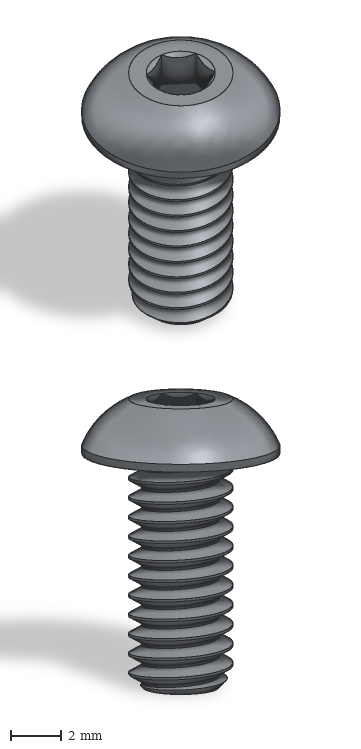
import cadquery as cq
import math

total_height = 11.73
head_diameter = 7.92
head_height = 2.2
shank_length = total_height - head_height
rim_height = 0.32
head_top_diameter = 4.16
dome_bulge = 0.26

thread_diameter = 4.16
shank_turns = 12
pitch = shank_length / shank_turns
flat_width = pitch / 8
flank_slope = math.tan(math.radians(30))
thread_depth = (pitch - 2 * flat_width) / (2 * flank_slope)
crest_start_height = 0.65
tip_diameter = 3.01

hex_across_flats = 2.38
socket_depth = 1.52

overrun = 2 * pitch
crest_radius = thread_diameter / 2
root_radius = crest_radius - thread_depth
hex_across_corners = hex_across_flats / math.cos(math.radians(30))


def make_head():
    """Domed head with a short cylindrical rim and a flat top."""
    rim_radius = head_diameter / 2
    top_radius = head_top_diameter / 2
    rim_top = shank_length + rim_height
    chord_run = rim_radius - top_radius
    chord_rise = total_height - rim_top
    chord = math.hypot(chord_run, chord_rise)
    dome_middle = (
        (rim_radius + top_radius) / 2 + dome_bulge * chord_rise / chord,
        (rim_top + total_height) / 2 + dome_bulge * chord_run / chord,
    )
    return (
        cq.Workplane("XZ")
        .moveTo(0, shank_length)
        .lineTo(rim_radius, shank_length)
        .lineTo(rim_radius, rim_top)
        .threePointArc(dome_middle, (top_radius, total_height))
        .lineTo(0, total_height)
        .close()
        .revolve(360, (0, 0), (0, 1))
    )


def make_thread_ridge():
    """Right-hand helical ridge that overruns the shank at both ends."""
    root_overlap = 0.04
    start = crest_start_height - overrun
    height = shank_length + 2 * overrun
    inner_radius = root_radius - root_overlap
    crest_half = flat_width / 2
    inner_half = crest_half + (crest_radius - inner_radius) * flank_slope
    helix = cq.Wire.makeHelix(pitch, height, root_radius, center=cq.Vector(0, 0, start))
    return (
        cq.Workplane("XZ")
        .polyline([
            (inner_radius, start - inner_half),
            (crest_radius, start - crest_half),
            (crest_radius, start + crest_half),
            (inner_radius, start + inner_half),
        ])
        .close()
        .sweep(cq.Workplane(obj=helix), isFrenet=True)
    )


def make_shank():
    """Threaded shank, trimmed to length with a 45 degree chamfer at the tip."""
    core_margin = 2 * overrun
    core = (
        cq.Workplane("XY", origin=(0, 0, -core_margin))
        .circle(root_radius)
        .extrude(shank_length + 2 * core_margin)
    )
    envelope_radius = 1.5 * crest_radius
    tip_radius = tip_diameter / 2
    envelope = (
        cq.Workplane("XZ")
        .polyline([
            (0, 0),
            (tip_radius, 0),
            (envelope_radius, envelope_radius - tip_radius),
            (envelope_radius, shank_length),
            (0, shank_length),
        ])
        .close()
        .revolve(360, (0, 0), (0, 1))
    )
    return core.union(make_thread_ridge()).intersect(envelope)


def make_socket():
    """Hexagonal socket, corners on the Y axis, with a 45 degree conical lead-in."""
    corner_radius = hex_across_corners / 2
    hexagon = (
        cq.Workplane("XY", origin=(0, 0, total_height))
        .transformed(rotate=(0, 0, 90))
        .polygon(6, hex_across_corners)
        .extrude(-socket_depth)
    )
    lead_in = cq.Solid.makeCone(
        corner_radius, 0, corner_radius, cq.Vector(0, 0, total_height), cq.Vector(0, 0, -1)
    )
    return hexagon.union(cq.Workplane(obj=lead_in))


result = make_shank().union(make_head()).cut(make_socket())